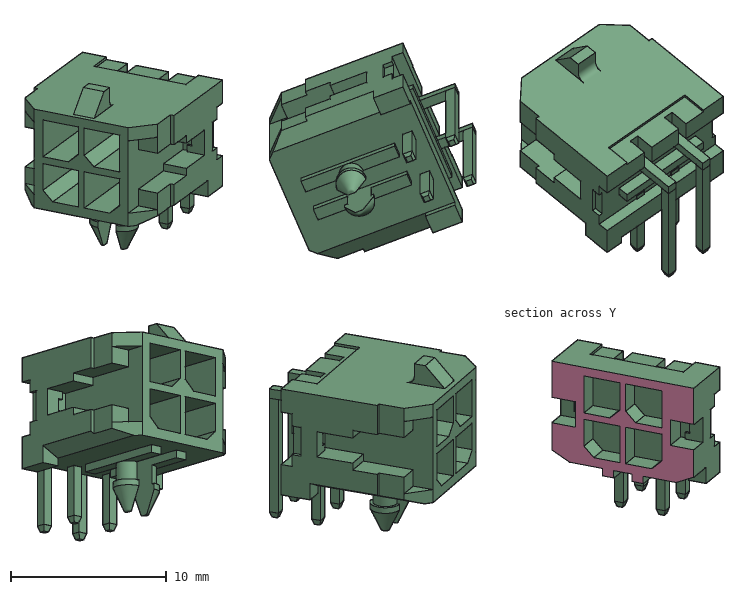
import cadquery as cq
import math


WIDTH = 10.15
HALF_WIDTH = WIDTH / 2
DEPTH = 9.95
TOP_Z = 7.38
FLOOR_Z = 0.51
BOTTOM_Z = -3.2
NOSE_HALF_WIDTH = 3.4
SHOULDER_HALF_WIDTH = 4.81
SHOULDER_Y = 3.18
NOSE_CHAMFER = SHOULDER_HALF_WIDTH - NOSE_HALF_WIDTH

FOOT_INNER_X = 3.81
FOOT_FRONT_Y = 7.91
UNDERCUT_RISE = 0.62

CONTACT_X = 1.49
CAVITY_WIDTH = 2.56
UPPER_CAVITY_BOTTOM, UPPER_CAVITY_TOP = 4.19, 6.75
LOWER_CAVITY_BOTTOM, LOWER_CAVITY_TOP = 1.19, 3.71
CAVITY_CHAMFER_X = 0.71
CAVITY_CHAMFER_Z = 0.67

SLOT_END_Y = 7.43
CAVITY_DEPTH = SLOT_END_Y
MOUTH_BOTTOM, MOUTH_TOP = 1.43, 6.46
WIDE_SLOT_END_Y = 4.91
WIDE_SLOT_BOTTOM, WIDE_SLOT_TOP = 2.58, 5.35
SLOT_BOTTOM, SLOT_TOP = 3.07, 4.82
POCKET_DEPTH = 0.2
POCKET_WIDTH = FOOT_INNER_X - NOSE_HALF_WIDTH
POCKET_NOTCH_WIDTH = 0.33
POCKET_NOTCH_BOTTOM, POCKET_NOTCH_TOP = 3.53, 4.32

REAR_WALL_Y = 9.19
REAR_OPENING_BOTTOM, REAR_OPENING_TOP = 2.12, 5.77
SHELF_HALF_WIDTH = 3.33
SHELF_FRONT_Y = 8.19
SHELF_DROP = 0.17
RIB_BOTTOM = 3.62
SIDE_NOTCH_Y = 8.57
SIDE_NOTCH_DEPTH = 0.26
SIDE_NOTCH_BOTTOM, SIDE_NOTCH_TOP = 2.94, 4.93

WIRE = 0.65
RIB_TOP = RIB_BOTTOM + WIRE
BAR_FRONT_Y = 8.62
BAR_TOP_Z = REAR_OPENING_TOP
BAR_REAR_Y = 12.24
SHORT_LEG_TOP_Z = 2.44
LEG_TIP_LENGTH = 0.4
LEG_TIP_WIDTH = 0.38

LATCH_WIDTH = 1.49
LATCH_TOP_Z = 8.75
LATCH_FRONT_Y = 0.37
LATCH_REAR_Y = 2.51
LATCH_FILLET = 0.5
LATCH_HEIGHT = LATCH_TOP_Z - TOP_Z

PEG_Y = 4.59
PEG_HALF_OFFSET = 0.65
PEG_RADIUS = 0.81
PEG_COLLAR_RADIUS = 1.0
PEG_COLLAR_TOP, PEG_COLLAR_BOTTOM = -1.25, -1.64
PEG_TIP_RADIUS = 0.27
PEG_TIP_FILLET = 0.15

SIDES = (-1, 1)


def box(x_range, y_range, z_range):
    """Axis-aligned block; each range is a pair of coordinates in either order."""
    (x0, x1), (y0, y1), (z0, z1) = (sorted(r) for r in (x_range, y_range, z_range))
    return cq.Workplane("XY").box(x1 - x0, y1 - y0, z1 - z0, centered=False).translate((x0, y0, z0))


def shell():
    """Housing block with stepped shoulders and chamfered front corners."""
    half_outline = [
        (NOSE_HALF_WIDTH, 0),
        (SHOULDER_HALF_WIDTH, NOSE_CHAMFER),
        (SHOULDER_HALF_WIDTH, SHOULDER_Y),
        (HALF_WIDTH, SHOULDER_Y),
        (HALF_WIDTH, DEPTH),
    ]
    mirrored = [(-x, y) for x, y in reversed(half_outline)]
    return (
        cq.Workplane("XY", origin=(0, 0, FLOOR_Z))
        .polyline(half_outline + mirrored)
        .close()
        .extrude(TOP_Z - FLOOR_Z)
    )


def undercut(side):
    """Sloped relief along the lower side edge, ahead of the rear foot."""
    return (
        cq.Workplane("XZ")
        .polyline(
            [
                (side * FOOT_INNER_X, FLOOR_Z),
                (side * HALF_WIDTH, FLOOR_Z + UNDERCUT_RISE),
                (side * HALF_WIDTH, FLOOR_Z),
            ]
        )
        .close()
        .extrude(-FOOT_FRONT_Y)
    )


def foot(side):
    return box((side * FOOT_INNER_X, side * HALF_WIDTH), (FOOT_FRONT_Y, DEPTH), (0, FLOOR_Z))


def side_slot(side):
    """Slot that narrows in steps toward the rear and ends in a shallow T-shaped pocket."""
    x_range = (side * NOSE_HALF_WIDTH, side * HALF_WIDTH)
    mouth = box(x_range, (0, NOSE_CHAMFER), (MOUTH_BOTTOM, MOUTH_TOP))
    wide_slot = box(x_range, (0, WIDE_SLOT_END_Y), (WIDE_SLOT_BOTTOM, WIDE_SLOT_TOP))
    narrow_slot = box(x_range, (0, SLOT_END_Y), (SLOT_BOTTOM, SLOT_TOP))

    pocket_y = (SLOT_END_Y, SLOT_END_Y + POCKET_DEPTH)
    pocket_x = (side * NOSE_HALF_WIDTH, side * (NOSE_HALF_WIDTH + POCKET_WIDTH))
    notch_x = (side * NOSE_HALF_WIDTH, side * (NOSE_HALF_WIDTH + POCKET_WIDTH + POCKET_NOTCH_WIDTH))
    pocket = box(pocket_x, pocket_y, (SLOT_BOTTOM, SLOT_TOP))
    notch = box(notch_x, pocket_y, (POCKET_NOTCH_BOTTOM, POCKET_NOTCH_TOP))
    return mouth.union(wide_slot).union(narrow_slot).union(pocket).union(notch)


def side_notch(side):
    """Shallow recess in the side face at the rear wall."""
    return box(
        (side * (HALF_WIDTH - SIDE_NOTCH_DEPTH), side * HALF_WIDTH),
        (SIDE_NOTCH_Y, REAR_WALL_Y),
        (SIDE_NOTCH_BOTTOM, SIDE_NOTCH_TOP),
    )


def cavity(center_x, bottom, top, keyed_side):
    """Mating cavity whose bottom corner on the keyed side is chamfered."""
    keyed_x = center_x + keyed_side * CAVITY_WIDTH / 2
    plain_x = center_x - keyed_side * CAVITY_WIDTH / 2
    outline = [
        (plain_x, bottom),
        (keyed_x - keyed_side * CAVITY_CHAMFER_X, bottom),
        (keyed_x, bottom + CAVITY_CHAMFER_Z),
        (keyed_x, top),
        (plain_x, top),
    ]
    return cq.Workplane("XZ").polyline(outline).close().extrude(-CAVITY_DEPTH)


def wire_x(side):
    return (side * CONTACT_X - WIRE / 2, side * CONTACT_X + WIRE / 2)


def bar_slot(side):
    """Slot through the rear overhang; the bar fills its lower end."""
    return box(wire_x(side), (BAR_FRONT_Y, DEPTH), (BAR_TOP_Z - WIRE, TOP_Z))


def short_leg_hole(side):
    return box(wire_x(side), (BAR_FRONT_Y, BAR_FRONT_Y + WIRE), (FLOOR_Z, SHORT_LEG_TOP_Z))


def rear_opening():
    """Opening across the rear face, divided by a horizontal rib."""
    full_width = (-HALF_WIDTH, HALF_WIDTH)
    opening = box(full_width, (REAR_WALL_Y, DEPTH), (REAR_OPENING_BOTTOM, REAR_OPENING_TOP))
    rib = box((-SHELF_HALF_WIDTH, SHELF_HALF_WIDTH), (REAR_WALL_Y, DEPTH), (RIB_BOTTOM, RIB_TOP))
    return opening.cut(rib)


def shelf_recess():
    return box((-SHELF_HALF_WIDTH, SHELF_HALF_WIDTH), (SHELF_FRONT_Y, DEPTH), (TOP_Z - SHELF_DROP, TOP_Z))


def latch():
    """Ramp with a 45 degree front and a filleted rear root."""
    fillet_mid = LATCH_FILLET * (1 - math.sqrt(0.5))
    return (
        cq.Workplane("YZ", origin=(-LATCH_WIDTH / 2, 0, 0))
        .moveTo(LATCH_FRONT_Y, TOP_Z)
        .lineTo(LATCH_FRONT_Y + LATCH_HEIGHT, LATCH_TOP_Z)
        .lineTo(LATCH_REAR_Y, LATCH_TOP_Z)
        .lineTo(LATCH_REAR_Y, TOP_Z + LATCH_FILLET)
        .threePointArc(
            (LATCH_REAR_Y + fillet_mid, TOP_Z + fillet_mid),
            (LATCH_REAR_Y + LATCH_FILLET, TOP_Z),
        )
        .close()
        .extrude(LATCH_WIDTH)
    )


def peg_rib(side):
    x_range = (side * PEG_HALF_OFFSET, side * (PEG_HALF_OFFSET + PEG_RADIUS))
    return box(x_range, (NOSE_CHAMFER, FOOT_FRONT_Y), (0, FLOOR_Z))


def peg_half(side):
    """Half of the snap peg: shank, collar and cone with a rounded tip, flat toward the gap."""
    profile = [
        (0, 0),
        (PEG_RADIUS, 0),
        (PEG_RADIUS, PEG_COLLAR_TOP),
        (PEG_COLLAR_RADIUS, PEG_COLLAR_TOP),
        (PEG_COLLAR_RADIUS, PEG_COLLAR_BOTTOM),
        (PEG_TIP_RADIUS, BOTTOM_Z),
        (0, BOTTOM_Z),
    ]
    full_peg = cq.Workplane("XZ").polyline(profile).close().revolve(360, (0, 0), (0, 1))
    full_peg = full_peg.faces("<Z").edges().fillet(PEG_TIP_FILLET)
    kept_half = box(
        (0, side * PEG_COLLAR_RADIUS),
        (-PEG_COLLAR_RADIUS, PEG_COLLAR_RADIUS),
        (BOTTOM_Z, 0),
    )
    return full_peg.intersect(kept_half).translate((side * PEG_HALF_OFFSET, PEG_Y, 0))


def make_housing():
    body = shell().cut(rear_opening()).cut(shelf_recess()).union(latch())
    for side in SIDES:
        body = body.cut(undercut(side)).cut(side_slot(side)).cut(side_notch(side))
        body = body.cut(cavity(side * CONTACT_X, UPPER_CAVITY_BOTTOM, UPPER_CAVITY_TOP, -side))
        body = body.cut(cavity(side * CONTACT_X, LOWER_CAVITY_BOTTOM, LOWER_CAVITY_TOP, side))
        body = body.cut(bar_slot(side)).cut(short_leg_hole(side))
        body = body.union(foot(side)).union(peg_rib(side)).union(peg_half(side))
    return body


def make_bar(side):
    """Horizontal part of an upper contact."""
    return box(wire_x(side), (BAR_FRONT_Y, BAR_REAR_Y), (BAR_TOP_Z - WIRE, BAR_TOP_Z))


def make_leg(side, front_y, top_z):
    """Vertical solder leg with a tapered tip."""
    shoulder_z = BOTTOM_Z + LEG_TIP_LENGTH
    shank = box(wire_x(side), (front_y, front_y + WIRE), (shoulder_z, top_z))
    tip = (
        cq.Workplane("XY", origin=(side * CONTACT_X, front_y + WIRE / 2, BOTTOM_Z))
        .rect(LEG_TIP_WIDTH, LEG_TIP_WIDTH)
        .workplane(offset=LEG_TIP_LENGTH)
        .rect(WIRE, WIRE)
        .loft(ruled=True)
    )
    return shank.union(tip)


housing = make_housing()
bars = [make_bar(side) for side in SIDES]
long_legs = [make_leg(side, BAR_REAR_Y - WIRE, BAR_TOP_Z - WIRE) for side in SIDES]
short_legs = [make_leg(side, BAR_FRONT_Y, SHORT_LEG_TOP_Z) for side in SIDES]

result = cq.Compound.makeCompound([body.val() for body in [housing, *bars, *long_legs, *short_legs]])